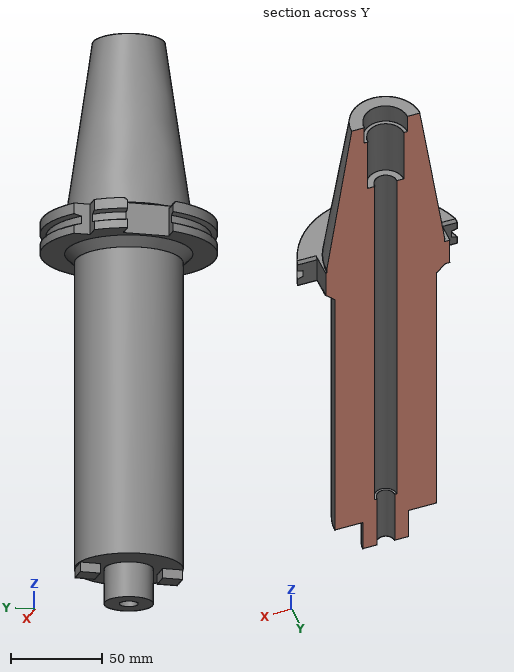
import cadquery as cq

taper_length = 101.7
taper_top_dia = 40.2
gauge_dia = 69.8

flange_dia = 97.5
flange_top_z = -1.5
flange_bottom_z = -19.0
neck_dia = 69.2
groove_core_dia = 91.0
groove_center_z = -11.0
groove_mouth_width = 6.5
groove_core_width = 4.2

shoulder_dia = 70.5
shoulder_bottom_z = -24.0
body_dia = 60.0
body_end_z = -200.0
spigot_dia = 27.0
spigot_length = 20.0
spigot_end_z = body_end_z - spigot_length

slot_width = 25.7
slot_chamfer = 1.5
left_slot_floor = 37.5
right_slot_floor = 35.5
notch_edge = 29.5

key_width = 12.0
key_height = 5.5
key_inner_y = 17.7
key_outer_y = 29.0

counterbore_dia = 25.0
counterbore_depth = 11.5
drawbar_bore_dia = 21.0
drawbar_bore_depth = 47.0
through_dia = 13.0
screw_dia = 10.3
screw_hole_depth = 35.5


def turned_body():
    half_mouth = groove_mouth_width / 2
    half_core = groove_core_width / 2
    profile = [
        (0, taper_length),
        (taper_top_dia / 2, taper_length),
        (gauge_dia / 2, 0),
        (neck_dia / 2, 0),
        (neck_dia / 2, flange_top_z),
        (flange_dia / 2, flange_top_z),
        (flange_dia / 2, groove_center_z + half_mouth),
        (groove_core_dia / 2, groove_center_z + half_core),
        (groove_core_dia / 2, groove_center_z - half_core),
        (flange_dia / 2, groove_center_z - half_mouth),
        (flange_dia / 2, flange_bottom_z),
        (shoulder_dia / 2, flange_bottom_z),
        (body_dia / 2, shoulder_bottom_z),
        (body_dia / 2, body_end_z),
        (spigot_dia / 2, body_end_z),
        (spigot_dia / 2, spigot_end_z),
        (0, spigot_end_z),
    ]
    return cq.Workplane("XZ").polyline(profile).close().revolve(360, (0, 0), (0, 1))


def drive_slot(side, floor):
    """Cutter open to one X side, its width flared by a chamfer at the flange top."""
    half = slot_width / 2
    section = [
        (-half, flange_bottom_z),
        (half, flange_bottom_z),
        (half, flange_top_z - slot_chamfer),
        (half + slot_chamfer, flange_top_z),
        (-half - slot_chamfer, flange_top_z),
        (-half, flange_top_z - slot_chamfer),
    ]
    start = cq.Workplane("YZ").workplane(offset=side * floor)
    return start.polyline(section).close().extrude(side * (flange_dia / 2 - floor + 3.2))


def orientation_notch():
    """Corner cutter removing the flange beyond the notch edge in -X and +Y."""
    size = flange_dia / 2
    height = flange_top_z - flange_bottom_z
    cutter = cq.Workplane("XY").box(size, size, height, centered=False)
    return cutter.translate((-notch_edge - size, notch_edge, flange_bottom_z))


def driving_key(side):
    length = key_outer_y - key_inner_y
    center_y = side * (key_inner_y + key_outer_y) / 2
    face = cq.Workplane("XY").workplane(offset=body_end_z).center(0, center_y)
    return face.rect(key_width, length).extrude(-key_height)


def axial_hole(diameter, start_z, depth):
    return cq.Workplane("XY").workplane(offset=start_z).circle(diameter / 2).extrude(-depth)


result = turned_body()
for side, floor in ((-1, left_slot_floor), (1, right_slot_floor)):
    result = result.cut(drive_slot(side, floor))
result = result.cut(orientation_notch())

for side in (-1, 1):
    result = result.union(driving_key(side))

through_depth = taper_length - spigot_end_z - screw_hole_depth
for diameter, depth in (
    (counterbore_dia, counterbore_depth),
    (drawbar_bore_dia, drawbar_bore_depth),
    (through_dia, through_depth),
):
    result = result.cut(axial_hole(diameter, taper_length, depth))
result = result.cut(axial_hole(screw_dia, spigot_end_z + screw_hole_depth, screw_hole_depth))